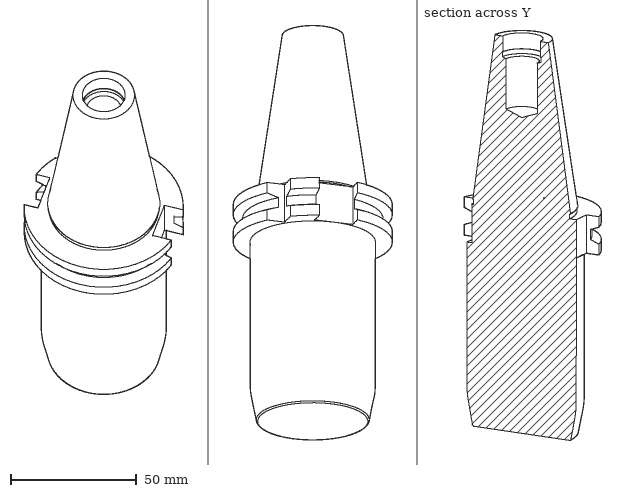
import cadquery as cq
import math


taper_ratio = 7 / 24
gauge_diameter = 44.45
shank_length = 68.25
taper_overrun = 1.0
neck_diameter = 44.0
neck_top_z = -1.5

flange_diameter = 63.5
flange_top_z = -3.2
flange_bottom_z = -19.1
groove_center_z = -11.1
groove_root_diameter = 56.0
groove_root_width = 4.0
groove_mouth_width = 7.0

slot_width = 16.1
slot_floor_left = 25.0
slot_floor_right = 22.8
notch_offset_x = 18.5
notch_offset_y = 18.5

projection = 95.0
body_diameter = 50.0
blend_length = 3.9
nose_length = 11.2
nose_half_angle = math.radians(11.0)
nose_chamfer = 0.6

pilot_diameter = 17.01
pilot_depth = 8.6
pilot_relief_diameter = 17.41
pilot_relief_width = 2.0
stud_hole_diameter = 14.0
stud_hole_depth = 30.0
hole_cone_half_angle = math.radians(70.0)


def taper_radius(z):
    """Radius of the 7:24 cone at height z."""
    return (gauge_diameter - taper_ratio * z) / 2


def revolve_profile(sketch):
    """Turn a closed (radius, z) profile around the Z axis."""
    return sketch.close().revolve(360, (0, 0, 0), (0, 1, 0))


def make_shank():
    """Taper shank with the relief neck above the flange."""
    neck_radius = neck_diameter / 2
    return revolve_profile(
        cq.Workplane("XZ")
        .moveTo(0, shank_length)
        .lineTo(taper_radius(shank_length), shank_length)
        .lineTo(taper_radius(-taper_overrun), -taper_overrun)
        .lineTo(neck_radius, neck_top_z)
        .lineTo(neck_radius, flange_top_z)
        .lineTo(0, flange_top_z)
    )


def flange_cutter(x_min, x_max, y_min, y_max):
    """Block over the given X and Y range, as tall as the flange."""
    height = flange_top_z - flange_bottom_z
    block = cq.Workplane("XY").box(x_max - x_min, y_max - y_min, height, centered=False)
    return block.translate((x_min, y_min, flange_bottom_z))


def make_flange():
    """Flange with its V-groove, two unequal drive slots and the orientation notch."""
    rim_radius = flange_diameter / 2
    root_radius = groove_root_diameter / 2
    half_mouth = groove_mouth_width / 2
    half_root = groove_root_width / 2
    flange = revolve_profile(
        cq.Workplane("XZ")
        .moveTo(0, flange_top_z)
        .lineTo(rim_radius, flange_top_z)
        .lineTo(rim_radius, groove_center_z + half_mouth)
        .lineTo(root_radius, groove_center_z + half_root)
        .lineTo(root_radius, groove_center_z - half_root)
        .lineTo(rim_radius, groove_center_z - half_mouth)
        .lineTo(rim_radius, flange_bottom_z)
        .lineTo(0, flange_bottom_z)
    )
    half_slot = slot_width / 2
    left_slot = flange_cutter(-rim_radius, -slot_floor_left, -half_slot, half_slot)
    right_slot = flange_cutter(slot_floor_right, rim_radius, -half_slot, half_slot)
    notch = flange_cutter(-rim_radius, -notch_offset_x, notch_offset_y, rim_radius)
    for cutter in (left_slot, right_slot, notch):
        flange = flange.cut(cutter)
    return flange


def make_body():
    """Straight body running through a blend arc into the tapered, chamfered nose."""
    body_radius = body_diameter / 2
    nose_top_z = nose_length - projection
    nose_bottom_z = nose_chamfer - projection

    blend_radius = blend_length / math.sin(nose_half_angle)
    nose_top_radius = body_radius - blend_radius * (1 - math.cos(nose_half_angle))
    blend_mid_radius = body_radius - blend_radius * (1 - math.cos(nose_half_angle / 2))
    blend_mid_z = nose_top_z + blend_length - blend_radius * math.sin(nose_half_angle / 2)
    nose_bottom_radius = nose_top_radius - (nose_top_z - nose_bottom_z) * math.tan(nose_half_angle)

    return revolve_profile(
        cq.Workplane("XZ")
        .moveTo(0, flange_bottom_z)
        .lineTo(body_radius, flange_bottom_z)
        .lineTo(body_radius, nose_top_z + blend_length)
        .threePointArc((blend_mid_radius, blend_mid_z), (nose_top_radius, nose_top_z))
        .lineTo(nose_bottom_radius, nose_bottom_z)
        .lineTo(nose_bottom_radius - nose_chamfer, -projection)
        .lineTo(0, -projection)
    )


def make_stud_hole():
    """Pilot bore, relief groove, conical seat and blind hole with a conical floor."""
    pilot_radius = pilot_diameter / 2
    relief_radius = pilot_relief_diameter / 2
    hole_radius = stud_hole_diameter / 2
    pilot_floor_z = shank_length - pilot_depth
    relief_top_z = pilot_floor_z + pilot_relief_width
    hole_floor_z = shank_length - stud_hole_depth
    seat_depth = (relief_radius - hole_radius) / math.tan(hole_cone_half_angle)
    point_length = hole_radius / math.tan(hole_cone_half_angle)
    return revolve_profile(
        cq.Workplane("XZ")
        .moveTo(0, shank_length)
        .lineTo(pilot_radius, shank_length)
        .lineTo(pilot_radius, relief_top_z)
        .lineTo(relief_radius, relief_top_z)
        .lineTo(relief_radius, pilot_floor_z)
        .lineTo(hole_radius, pilot_floor_z - seat_depth)
        .lineTo(hole_radius, hole_floor_z)
        .lineTo(0, hole_floor_z - point_length)
    )


result = make_shank().union(make_flange()).union(make_body()).cut(make_stud_hole())